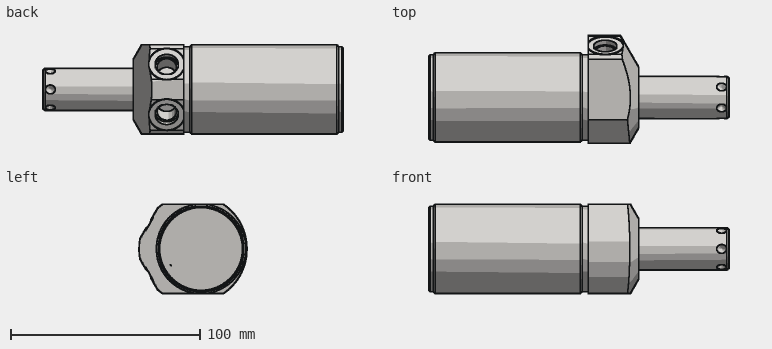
import cadquery as cq
import math

total_length = 158.62
tube_radius = 23.685

step_depth = 1.0
step_radius = tube_radius - step_depth
end_chamfer = 0.8
end_band_length = 2.3
neck_length = 3.2

head_start = 84.1
head_end = 111.0
head_radius = 57.15 / 2
head_offset = 4.27
head_flat_width = 2 * tube_radius
nose_end_radius = 15.9
nose_angle = 60.0

rod_radius = 11.25
rod_chamfer_length = 1.2
rod_chamfer_depth = 1.0
dimple_count = 6
dimple_radius = 2.35
dimple_inset = 3.9

port_tilt = 30.0
port_face_distance = 27.0
port_x = 93.2
spotface_diameter = 19.05
spotface_depth = 0.5
port_mouth_diameter = 12.3
port_mouth_depth = 2.9
port_bore_diameter = 10.2
port_bore_depth = 12.0


def make_tube():
    """Turned tube with a stepped, chamfered closed end and a neck running up to the head."""
    neck_start = head_start - neck_length
    profile = [
        (0, 0),
        (0, step_radius - end_chamfer),
        (end_chamfer, step_radius),
        (end_band_length, step_radius),
        (end_band_length + step_depth, tube_radius),
        (neck_start - step_depth, tube_radius),
        (neck_start, step_radius),
        (head_start, step_radius),
        (head_start, 0),
    ]
    return revolve_about_x(profile)


def revolve_about_x(profile):
    """Revolve a closed (x, radius) outline about the X axis."""
    return cq.Workplane("XY").polyline(profile).close().revolve(360, (0, 0, 0), (1, 0, 0))


def port_cutter():
    """Cutter for one port, built along +Z with the slanted port face at Z = 0."""
    clearance = head_radius
    floor = cq.Workplane("XY", origin=(0, 0, -spotface_depth))
    spotface = floor.circle(spotface_diameter / 2).extrude(clearance)
    mouth = floor.circle(port_mouth_diameter / 2).extrude(-port_mouth_depth)
    bore = floor.circle(port_bore_diameter / 2).extrude(-port_bore_depth)
    face_trim = cq.Workplane("XY").rect(4 * head_radius, 2 * head_radius).extrude(clearance)
    return face_trim.union(spotface).union(mouth).union(bore)


def make_head():
    """Eccentric head with top and bottom flats, conical nose and two tilted ports."""
    head_length = head_end - head_start
    head = cq.Workplane("YZ", origin=(head_start, head_offset, 0)).circle(head_radius).extrude(head_length)
    flats = cq.Workplane("XY").box(2 * total_length, 4 * head_radius, head_flat_width)

    cone_base_radius = nose_end_radius + head_length * math.tan(math.radians(nose_angle))
    nose = revolve_about_x([
        (head_start, 0),
        (head_start, cone_base_radius),
        (head_end, nose_end_radius),
        (head_end, 0),
    ])
    head = head.intersect(flats).intersect(nose)

    for side in (1, -1):
        tip_angle = -(90 - side * port_tilt)
        cutter = (
            port_cutter()
            .translate((port_x, 0, port_face_distance))
            .rotate((0, 0, 0), (1, 0, 0), tip_angle)
            .translate((0, head_offset, 0))
        )
        head = head.cut(cutter)
    return head


def make_rod():
    """Rod with a chamfered tip and evenly spaced 90 degree conical dimples."""
    rod = revolve_about_x([
        (head_end, 0),
        (head_end, rod_radius),
        (total_length - rod_chamfer_length, rod_radius),
        (total_length, rod_radius - rod_chamfer_depth),
        (total_length, 0),
    ])
    cone_height = 2 * dimple_radius
    apex_radius = math.sqrt(rod_radius**2 - dimple_radius**2) - dimple_radius
    dimple = cq.Workplane(cq.Solid.makeCone(
        0,
        cone_height,
        cone_height,
        pnt=cq.Vector(total_length - dimple_inset, apex_radius, 0),
        dir=cq.Vector(0, 1, 0),
    ))
    for index in range(dimple_count):
        rod = rod.cut(dimple.rotate((0, 0, 0), (1, 0, 0), index * 360 / dimple_count))
    return rod


result = make_tube().union(make_head()).union(make_rod())